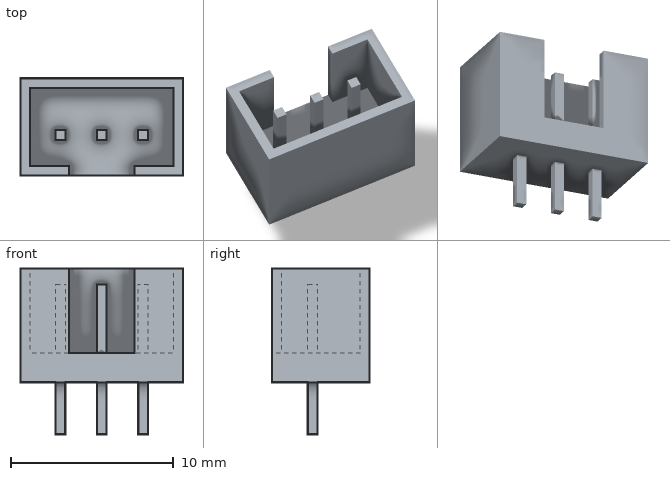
import cadquery as cq

housing_length = 10.0
housing_depth = 6.0
housing_height = 7.0
wall = 0.6
floor_thickness = 1.8
notch_width = 4.0

pin_count = 3
pin_pitch = 2.54
pin_side = 0.61
pin_tail = 3.2
pin_tip_recess = 1.0
pin_row_from_front = 2.5

cavity_height = housing_height - floor_thickness
front_y = -housing_depth / 2
pin_row_y = front_y + pin_row_from_front
pin_length = pin_tail + housing_height - pin_tip_recess


def upright_block(length, depth, height, x, y, z):
    """Block centred on (x, y) with its underside at z."""
    block = cq.Workplane("XY").box(length, depth, height, centered=(True, True, False))
    return block.translate((x, y, z))


housing = upright_block(housing_length, housing_depth, housing_height, 0, 0, 0)

cavity = upright_block(
    housing_length - 2 * wall, housing_depth - 2 * wall, cavity_height, 0, 0, floor_thickness
)

notch = upright_block(notch_width, 2 * wall, cavity_height, 0, front_y, floor_thickness)

result = housing.cut(cavity).cut(notch)

for index in range(pin_count):
    pin_x = (index - (pin_count - 1) / 2) * pin_pitch
    pin = upright_block(pin_side, pin_side, pin_length, pin_x, pin_row_y, -pin_tail)
    result = result.union(pin)